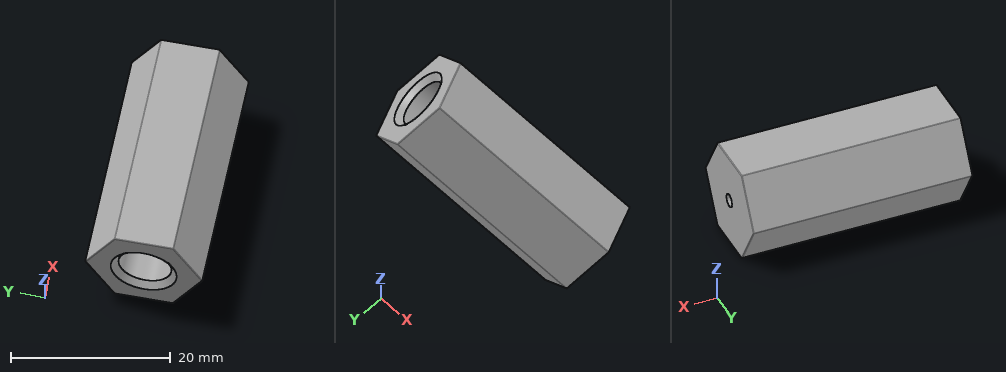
import cadquery as cq
import math

length = 30.0
across_flats = 13.0
across_corners = across_flats / math.cos(math.radians(30))
edge_radius = 0.1

bore_diameter = 6.75
bore_depth = 20.0
mouth_diameter = 8.4
mouth_angle = 90.0
drill_tip_angle = 118.0
through_diameter = 1.75


def cone_depth(large_diameter, small_diameter, included_angle):
    """Axial length of a cone between two diameters."""
    radial_step = (large_diameter - small_diameter) / 2
    return radial_step / math.tan(math.radians(included_angle / 2))


def hexagonal_body():
    """Hexagonal prism centred on the origin with all edges rounded."""
    prism = cq.Workplane("YZ").polygon(6, across_corners).extrude(length / 2, both=True)
    return prism.edges().fillet(edge_radius)


def stepped_bore():
    """Countersunk bore with a conical bottom and a small hole running on through."""
    entry = -length / 2
    mouth_end = entry + cone_depth(mouth_diameter, bore_diameter, mouth_angle)
    bore_end = entry + bore_depth
    tip_end = bore_end + cone_depth(bore_diameter, through_diameter, drill_tip_angle)
    half_profile = [
        (entry, 0),
        (entry, mouth_diameter / 2),
        (mouth_end, bore_diameter / 2),
        (bore_end, bore_diameter / 2),
        (tip_end, through_diameter / 2),
        (length / 2, through_diameter / 2),
        (length / 2, 0),
    ]
    return cq.Workplane("XY").polyline(half_profile).close().revolve(360, (0, 0, 0), (1, 0, 0))


result = hexagonal_body().cut(stepped_bore())